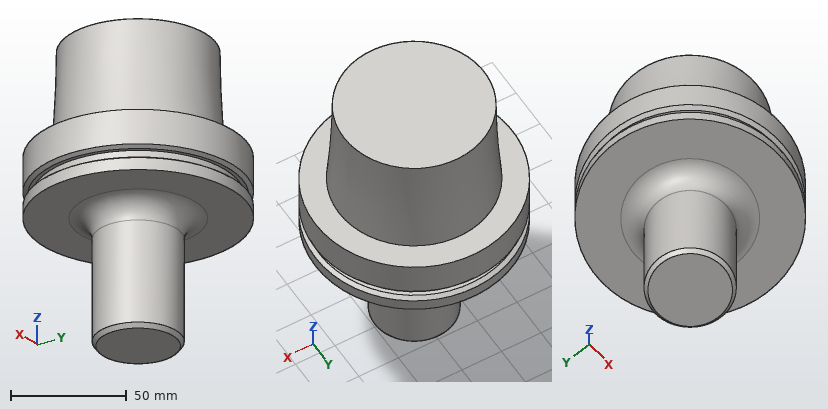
import cadquery as cq

total_height = 139.8
cone_height = 50.0
flange_height = 28.8

flange_top = total_height - cone_height
flange_bottom = flange_top - flange_height

shank_radius = 40.0 / 2
root_fillet_radius = 10.0
tip_chamfer_height = 2.1
tip_chamfer_width = 1.7

flange_radius = 100.0 / 2
groove_radius = 91.9 / 2
groove_bottom = 66.7
groove_top = 73.3
rim_chamfer_height = 1.3
rim_chamfer_width = 2.1

cone_top_radius = 35.5
cone_middle_radius = 36.2
cone_base_radius = 38.0
cone_middle = flange_top + cone_height / 2


def make_shank():
    """Round shank with a chamfered tip and a concave fillet into the flange."""
    fillet_start = flange_bottom - root_fillet_radius
    profile = (
        cq.Workplane("XZ")
        .lineTo(shank_radius - tip_chamfer_width, 0)
        .lineTo(shank_radius, tip_chamfer_height)
        .lineTo(shank_radius, fillet_start)
        .tangentArcPoint(
            (shank_radius + root_fillet_radius, flange_bottom), relative=False
        )
        .lineTo(0, flange_bottom)
        .close()
    )
    return profile.revolve(360, (0, 0), (0, 1))


def make_flange():
    """Disc with a groove around its rim."""
    chamfer_radius = flange_radius - rim_chamfer_width
    floor_bottom = groove_bottom + rim_chamfer_height
    floor_top = groove_top - rim_chamfer_height
    profile = (
        cq.Workplane("XZ")
        .moveTo(0, flange_bottom)
        .lineTo(flange_radius, flange_bottom)
        .lineTo(flange_radius, groove_bottom)
        .lineTo(chamfer_radius, floor_bottom)
        .lineTo(groove_radius, floor_bottom)
        .lineTo(groove_radius, floor_top)
        .lineTo(chamfer_radius, floor_top)
        .lineTo(flange_radius, groove_top)
        .lineTo(flange_radius, flange_top)
        .lineTo(0, flange_top)
        .close()
    )
    return profile.revolve(360, (0, 0), (0, 1))


def make_cone():
    """Solid upper body with a slightly concave side."""
    profile = (
        cq.Workplane("XZ")
        .moveTo(0, flange_top)
        .lineTo(cone_base_radius, flange_top)
        .threePointArc(
            (cone_middle_radius, cone_middle), (cone_top_radius, total_height)
        )
        .lineTo(0, total_height)
        .close()
    )
    return profile.revolve(360, (0, 0), (0, 1))


result = make_flange().union(make_shank()).union(make_cone())